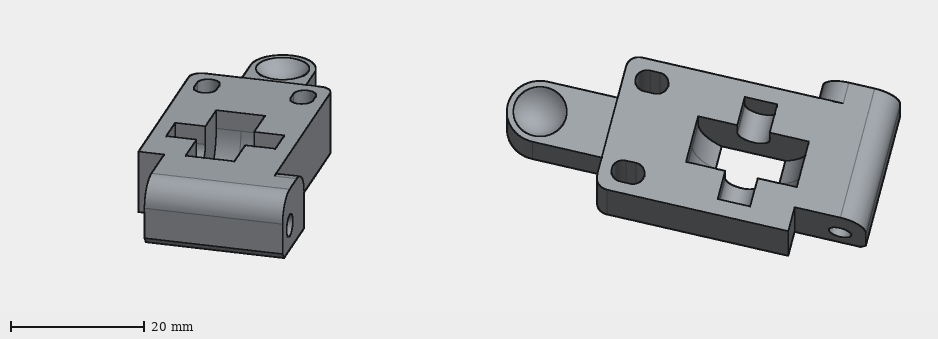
import cadquery as cq

body_width = 22.0
body_length = 30.0
height = 10.0
body_corner_radius = 2.0
body_middle = body_width / 2

tab_width = 10.0
tab_reach = 16.0
tab_height = 7.0
tab_radius = tab_width / 2
tab_end_center = (body_middle, body_length + tab_reach - tab_radius)
dish_sphere_radius = tab_radius

slot_width = 3.5
slot_length = 5.0
slot_spacing = 15.0
slot_from_end = 4.4

wheel_y = 9.0
axle_height = 7.0
wheel_radius = 8.55
wheel_width = 7.6
axle_radius = 2.5
axle_length = 17.0

hinge_start = 4.0
hinge_length = 21.5
hinge_reach = 11.0
hinge_overlap = 0.95
hinge_radius = 4.0
hinge_chamfer_depth = 0.8
hinge_chamfer_height = 1.0
pin_diameter = 3.5
pin_y = hinge_radius - hinge_reach
pin_height = hinge_radius


def make_body():
    block = cq.Workplane("XY").box(body_width, body_length, height, centered=False)
    return block.edges("|Z and >Y").fillet(body_corner_radius)


def make_tab():
    straight_length = tab_reach - tab_radius
    strip = (
        cq.Workplane("XY")
        .center(body_middle, body_length + straight_length / 2)
        .rect(tab_width, straight_length)
        .extrude(tab_height)
    )
    round_end = cq.Workplane("XY").center(*tab_end_center).circle(tab_radius).extrude(tab_height)
    return strip.union(round_end)


def make_dish():
    """Sphere centred level with the body top, so only its lower cap cuts the tab."""
    return cq.Workplane("XY").sphere(dish_sphere_radius).translate((*tab_end_center, height))


def make_hinge():
    """Bar along X with both upper edges rounded and the lower outer edge chamfered."""
    depth = hinge_reach + hinge_overlap
    bar = (
        cq.Workplane("XY")
        .box(hinge_length, depth, height, centered=False)
        .translate((hinge_start, -hinge_reach, 0))
    )
    bar = bar.edges("|X and >Z").fillet(hinge_radius)
    outer_corner = (
        cq.Workplane("YZ", origin=(hinge_start, 0, 0))
        .moveTo(-hinge_reach, 0)
        .lineTo(hinge_chamfer_depth - hinge_reach, 0)
        .lineTo(-hinge_reach, hinge_chamfer_height)
        .close()
        .extrude(hinge_length)
    )
    return bar.cut(outer_corner)


def make_hinge_web():
    """Flat-topped filler joining the hinge to the body over their shared width."""
    return (
        cq.Workplane("XY")
        .box(body_width - hinge_start, -pin_y, height, centered=False)
        .translate((hinge_start, pin_y, 0))
    )


def make_pin_hole():
    return (
        cq.Workplane("YZ", origin=(hinge_start, 0, 0))
        .center(pin_y, pin_height)
        .circle(pin_diameter / 2)
        .extrude(hinge_length)
    )


def make_screw_slots():
    return (
        cq.Workplane("XY")
        .center(body_middle, body_length - slot_from_end)
        .rarray(slot_spacing, 0.55, 2, 1)
        .slot2D(slot_length, slot_width, 90)
        .extrude(height)
    )


def make_round_bottomed_pocket(radius, length):
    """Cylinder along X at the axle, opened straight up through the top face."""
    round_bottom = (
        cq.Workplane("YZ", origin=(body_middle, 0, 0))
        .center(wheel_y, axle_height)
        .circle(radius)
        .extrude(length / 2, both=True)
    )
    opening = (
        cq.Workplane("XY", origin=(body_middle, wheel_y, axle_height))
        .rect(length, 2 * radius)
        .extrude(height - axle_height)
    )
    return round_bottom.union(opening)


result = (
    make_body()
    .union(make_tab().cut(make_dish()))
    .union(make_hinge())
    .union(make_hinge_web())
    .cut(make_pin_hole())
    .cut(make_screw_slots())
    .cut(make_round_bottomed_pocket(wheel_radius, wheel_width))
    .cut(make_round_bottomed_pocket(axle_radius, axle_length))
)